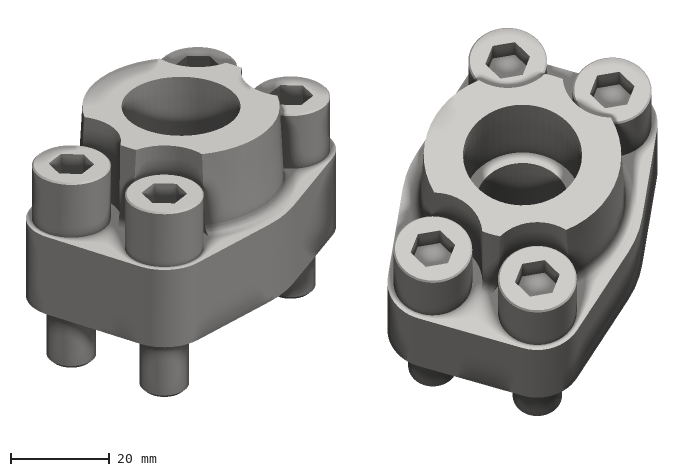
import cadquery as cq
import math

flange_length = 66.0
flange_width = 49.0
flange_thickness = 18.0
bolt_spacing_x = 22.3
bolt_spacing_y = 47.6

hub_height = 18.0
hub_top_radius = 20.0
hub_draft_deg = 3.0
hub_root_fillet = 2.0
bolt_recess_radius = 10.0

bore_diameter = 19.0
socket_diameter = 24.1
socket_depth = hub_height

head_diameter = 16.0
head_height = 12.6
head_edge_chamfer = 0.3
hex_across_flats = 8.0
hex_depth = 4.75
shank_diameter = 10.0
shank_protrusion = 14.45
shank_tip_chamfer = 0.85

bolt_x = bolt_spacing_x / 2
bolt_y = bolt_spacing_y / 2
bolt_points = [(sx * bolt_x, sy * bolt_y) for sx in (-1, 1) for sy in (-1, 1)]
hub_top = flange_thickness + hub_height


def polar(center, radius, angle):
    return (center[0] + radius * math.cos(angle), center[1] + radius * math.sin(angle))


def make_flange():
    """Plate whose side arcs, centred on the bore, run tangentially into the corner arcs around the bolts."""
    side_radius = flange_width / 2
    corner_radius = flange_length / 2 - bolt_y
    center_distance = math.hypot(bolt_x, bolt_y)
    normal = math.atan2(bolt_y, bolt_x) - math.acos((side_radius - corner_radius) / center_distance)
    corner_mid = (normal + math.pi / 2) / 2

    side_end = polar((0, 0), side_radius, normal)
    corner_start = polar((bolt_x, bolt_y), corner_radius, normal)
    corner_middle = polar((bolt_x, bolt_y), corner_radius, corner_mid)
    quarter = (
        cq.Workplane("XY")
        .lineTo(side_radius, 0)
        .threePointArc(polar((0, 0), side_radius, normal / 2), side_end)
        .lineTo(*corner_start)
        .threePointArc(corner_middle, (bolt_x, flange_length / 2))
        .lineTo(0, flange_length / 2)
        .close()
        .extrude(flange_thickness)
    )
    half = quarter.union(quarter.mirror("YZ"))
    return half.union(half.mirror("XZ")).clean()


def make_hub():
    """Drafted, root-filleted boss scalloped to clear the screw heads."""
    draft = math.radians(hub_draft_deg)
    root_radius = hub_top_radius + hub_height * math.tan(draft)
    fillet_center = (
        root_radius + hub_root_fillet * math.tan(math.pi / 4 - draft / 2),
        flange_thickness + hub_root_fillet,
    )
    fillet_foot = (fillet_center[0], flange_thickness)
    fillet_middle = polar(fillet_center, hub_root_fillet, math.pi * 5 / 4 + draft / 2)
    fillet_top = polar(fillet_center, hub_root_fillet, math.pi + draft)
    hub = (
        cq.Workplane("XZ")
        .moveTo(0, flange_thickness)
        .lineTo(*fillet_foot)
        .threePointArc(fillet_middle, fillet_top)
        .lineTo(hub_top_radius, hub_top)
        .lineTo(0, hub_top)
        .close()
        .revolve(360, (0, 0, 0), (0, 1, 0))
    )
    recesses = (
        cq.Workplane("XY", origin=(0, 0, flange_thickness))
        .pushPoints(bolt_points)
        .circle(bolt_recess_radius)
        .extrude(hub_height)
    )
    return hub.cut(recesses)


def make_screw():
    """Cap screw on the Z axis, its head resting on the flange face; the hex corners point along Y."""
    head = (
        cq.Workplane("XY", origin=(0, 0, flange_thickness))
        .circle(head_diameter / 2)
        .extrude(head_height)
        .faces(">Z")
        .chamfer(head_edge_chamfer)
    )
    hex_socket = (
        cq.Workplane("XY", origin=(0, 0, flange_thickness + head_height))
        .polygon(6, hex_across_flats / math.cos(math.pi / 6))
        .extrude(-hex_depth)
        .rotate((0, 0, 0), (0, 0, 1), 30)
    )
    shank = (
        cq.Workplane("XY", origin=(0, 0, -shank_protrusion))
        .circle(shank_diameter / 2)
        .extrude(shank_protrusion + flange_thickness)
        .faces("<Z")
        .chamfer(shank_tip_chamfer)
    )
    return head.cut(hex_socket).union(shank)


body = make_flange().union(make_hub())

bore = cq.Workplane("XY").circle(bore_diameter / 2).extrude(hub_top)
pipe_socket = (
    cq.Workplane("XY", origin=(0, 0, hub_top))
    .circle(socket_diameter / 2)
    .extrude(-socket_depth)
)
body = body.cut(bore).cut(pipe_socket)

screw = make_screw()
for x, y in bolt_points:
    body = body.union(screw.translate((x, y, 0)))

result = body